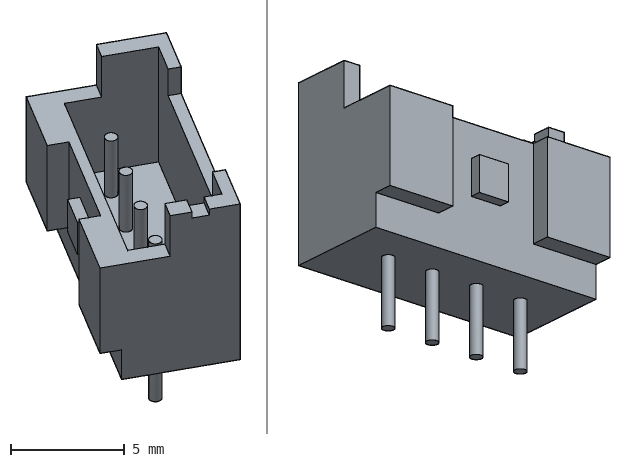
import cadquery as cq

length = 12.5
body_depth = 5.41
body_height = 8.79
end_wall = 0.89
back_wall = 0.6
front_wall = 0.51
floor_thickness = 2.3

rim_height = 6.5
post_depth = 3.2

window_width = 7.5
window_depth = 1.5
notch_width = 0.79
notch_depth = 0.34
notch_offset = 1.41

overall_depth = 6.4
pad_width = 3.56
pad_bottom = 1.68
tab_width = 1.65
tab_height = 1.82
tab_depth = 0.56
tab_bottom = 2.99

pin_count = 4
pin_pitch = 2.5
pin_diameter = 0.6
pin_tail = 3.41
pin_top = 5.5

back_y = overall_depth / 2
front_y = back_y - body_depth
pad_front_y = -overall_depth / 2
post_front_y = back_y - post_depth
half_length = length / 2


def block(x_range, y_range, z_range):
    """Box spanning the given minimum and maximum on each axis."""
    (x0, x1), (y0, y1), (z0, z1) = x_range, y_range, z_range
    return cq.Workplane("XY").box(x1 - x0, y1 - y0, z1 - z0, centered=False).translate((x0, y0, z0))


def make_shell():
    """Open-topped housing with a lowered front, a back window and a key notch."""
    full_x = (-half_length, half_length)
    inner_x = (-half_length + end_wall, half_length - end_wall)
    body = block(full_x, (front_y, back_y), (0, body_height))
    cavity = block(inner_x, (front_y + front_wall, back_y - back_wall), (floor_thickness, body_height))
    front_step = block(full_x, (front_y, post_front_y), (rim_height, body_height))
    window = block(
        (-window_width / 2, window_width / 2),
        (back_y - back_wall, back_y),
        (body_height - window_depth, body_height),
    )
    notch_back_y = back_y - notch_offset
    notch = block(
        (half_length - end_wall, half_length),
        (notch_back_y - notch_width, notch_back_y),
        (body_height - notch_depth, body_height),
    )
    return body.cut(cavity).cut(front_step).cut(window).cut(notch)


def add_front_features(body):
    """Add the two corner pads and the centre tab to the front face."""
    for pad_x in (-half_length, half_length - pad_width):
        pad = block((pad_x, pad_x + pad_width), (pad_front_y, front_y), (pad_bottom, rim_height))
        body = body.union(pad)
    tab = block(
        (-tab_width / 2, tab_width / 2),
        (front_y - tab_depth, front_y),
        (tab_bottom, tab_bottom + tab_height),
    )
    return body.union(tab)


def make_pins():
    """Row of round pins passing through the floor, in line with the post fronts."""
    return (
        cq.Workplane("XY", origin=(0, post_front_y, -pin_tail))
        .rarray(pin_pitch, 0.12, pin_count, 1)
        .circle(pin_diameter / 2)
        .extrude(pin_tail + pin_top)
    )


result = add_front_features(make_shell()).union(make_pins())